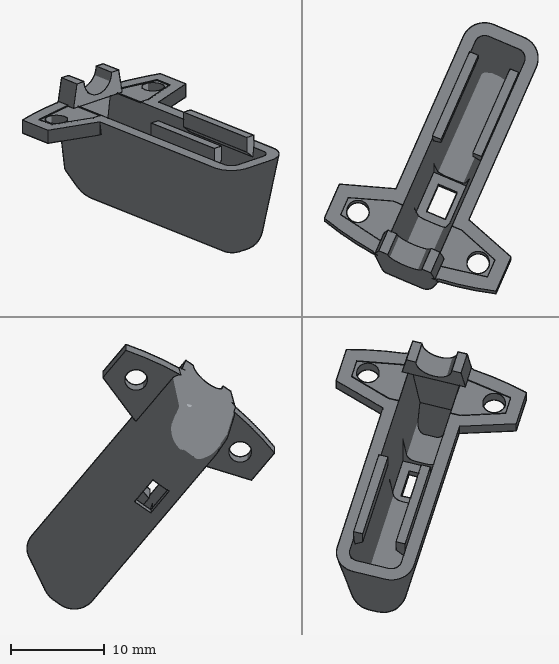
import cadquery as cq
import math

length = 28.0
rim_half_width = 4.25
body_depth = 10.92
wall = 1.4
draft = math.tan(math.radians(8.0))
end_corner_radius = 2.52
bottom_radius = 2.4
front_corner_radius = 1.05
nose_edge_radius = 0.55
nose_height = 7.92
nose_length = 3.28
nose_slope = (body_depth - nose_height) / nose_length

ear_half_span = 10.0
ear_thickness = 1.5
ear_sweep = 1.43
ear_tip_back = 5.5
ear_root_back = 7.42
ear_hole_diameter = 2.4
ear_hole_x = 3.55
ear_hole_y = 7.0
ear_recess_depth = 0.1
ear_recess_tip_y = 8.55
ear_recess_tip_front = 2.5
ear_recess_tip_back = 4.5
ear_recess_root_front = 1.57
ear_recess_root_back = 6.08
ear_recess_shoulder_y = 3.98

saddle_height = 2.58
saddle_length = 2.45
saddle_base_half = 3.5
saddle_top_half = 3.02
saddle_radius = 2.0

rail_start = 14.0
rail_end = 24.0
rail_height = 1.4
rail_wall_depth = 1.05
rail_inner_depth = 0.28
rail_inner_y = 1.85

seat_center_x = 9.95
seat_length = 5.25
seat_width = 4.15
seat_floor = 10.08
window_length = 3.22
window_width = 2.18


def drafted_trough(side_profile, half_width, depth):
    """Side profile in XZ, limited by two walls leaning inward toward the bottom."""
    bottom_half = half_width - draft * depth
    side = cq.Workplane("XZ").polyline(side_profile).close().extrude(half_width, both=True)
    section = [
        (-half_width, 0),
        (half_width, 0),
        (bottom_half, -depth),
        (-bottom_half, -depth),
    ]
    return side.intersect(cq.Workplane("YZ").polyline(section).close().extrude(length))


def edges_near(x_min, x_max, z_min, z_max):
    """Selector for edges whose centers lie in the given X and Z ranges."""
    span = rim_half_width
    return cq.selectors.BoxSelector((x_min, -span, z_min), (x_max, span, z_max))


def make_body():
    profile = [
        (0, 0),
        (length, 0),
        (length - draft * body_depth, -body_depth),
        (nose_length, -body_depth),
        (0, -nose_height),
    ]
    body = drafted_trough(profile, rim_half_width, body_depth)
    end_edges = edges_near(length * 0.9, length, -body_depth * 0.6, -body_depth * 0.4)
    body = body.edges(end_edges).fillet(end_corner_radius)
    bottom_edges = edges_near(nose_length + 0.28, length, -body_depth - 0.28, -body_depth + 0.03)
    body = body.edges(bottom_edges).fillet(bottom_radius)
    front_edges = edges_near(-0.28, nose_length - 0.28, -body_depth + 0.28, -0.28)
    body = body.edges(front_edges).edges("not |Y").fillet(front_corner_radius)
    nose_edge = edges_near(-0.03, 0.03, -nose_height - 0.03, -nose_height + 0.03)
    return body.edges(nose_edge).fillet(nose_edge_radius)


def make_cavity():
    depth = body_depth - wall
    end_x = length - wall
    nose_rise = wall * math.hypot(1, nose_slope)
    nose_top = nose_height + nose_slope * wall - nose_rise
    nose_end = wall + (depth - nose_top) / nose_slope
    profile = [
        (wall, 0),
        (end_x, 0),
        (end_x - draft * depth, -depth),
        (nose_end, -depth),
        (wall, -nose_top),
    ]
    cavity = drafted_trough(profile, rim_half_width - wall, depth)
    inner_radius = end_corner_radius - wall
    end_edges = edges_near(end_x * 0.9, end_x, -depth * 0.6, -depth * 0.4)
    cavity = cavity.edges(end_edges).fillet(inner_radius)
    floor_edges = edges_near(nose_end + 0.28, length, -depth - 0.28, -depth + 0.03)
    return cavity.edges(floor_edges).fillet(bottom_radius - wall)


def make_ears():
    return (
        cq.Workplane("XY")
        .moveTo(ear_sweep, -ear_half_span)
        .lineTo(ear_tip_back, -ear_half_span)
        .lineTo(ear_root_back, -rim_half_width)
        .lineTo(ear_root_back, rim_half_width)
        .lineTo(ear_tip_back, ear_half_span)
        .lineTo(ear_sweep, ear_half_span)
        .threePointArc((0, 0), (ear_sweep, -ear_half_span))
        .close()
        .extrude(-ear_thickness)
    )


def make_ear_recess():
    """Shallow recess on the +Y ear, reaching inward to the cavity."""
    outline = [
        (ear_recess_root_front, rim_half_width - wall),
        (ear_recess_root_front, saddle_base_half),
        (ear_recess_tip_front, ear_recess_tip_y),
        (ear_recess_tip_back, ear_recess_tip_y),
        (ear_recess_root_back, ear_recess_shoulder_y),
        (ear_recess_root_back, rim_half_width - wall),
    ]
    return cq.Workplane("XY").polyline(outline).close().extrude(-ear_recess_depth)


def make_saddle():
    section = [
        (-saddle_base_half, -ear_recess_depth),
        (-saddle_base_half, 0),
        (-saddle_top_half, saddle_height),
        (saddle_top_half, saddle_height),
        (saddle_base_half, 0),
        (saddle_base_half, -ear_recess_depth),
    ]
    saddle = cq.Workplane("YZ").polyline(section).close().extrude(saddle_length)
    groove = cq.Workplane("YZ").center(0, saddle_height).circle(saddle_radius).extrude(saddle_length)
    return saddle.cut(groove)


def make_rail():
    """Rail on the +Y wall, with a foot sloping down to the wall."""
    wall_y = rim_half_width - wall
    foot_y = wall_y - draft * rail_wall_depth
    section = [
        (rail_inner_y, rail_height),
        (wall_y, rail_height),
        (wall_y, 0),
        (foot_y, -rail_wall_depth),
        (rail_inner_y, -rail_inner_depth),
    ]
    rail = cq.Workplane("YZ").polyline(section).close().extrude(rail_end - rail_start)
    return rail.translate((rail_start, 0, 0))


def make_floor_pocket(pocket_length, pocket_width, bottom):
    """Vertical rectangular cut centered on the seat, open to the cavity above."""
    return (
        cq.Workplane("XY")
        .center(seat_center_x, 0)
        .rect(pocket_length, pocket_width)
        .extrude(-bottom)
    )


result = make_body().union(make_ears()).cut(make_cavity())
ear_recess = make_ear_recess()
result = result.cut(ear_recess).cut(ear_recess.mirror("XZ"))
for side in (-1, 1):
    hole = cq.Workplane("XY").center(ear_hole_x, side * ear_hole_y).circle(ear_hole_diameter / 2)
    result = result.cut(hole.extrude(-ear_thickness))

result = result.cut(make_floor_pocket(seat_length, seat_width, seat_floor))
result = result.cut(make_floor_pocket(window_length, window_width, body_depth))

rail = make_rail()
result = result.union(rail).union(rail.mirror("XZ")).union(make_saddle())